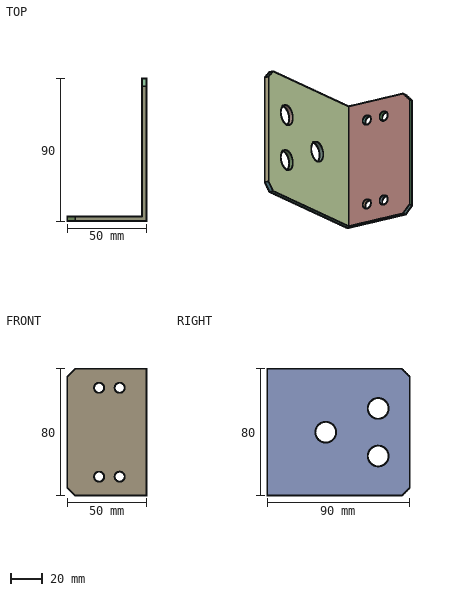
import cadquery as cq

width = 50.0
depth = 90.0
height = 80.0
thickness = 3.0
corner_chamfer = 5.0

small_diameter = 6.2
small_offsets = (17.0, 30.0)
small_spacing_z = 56.0

large_diameter = 13.0
pair_from_end = 20.0
pair_spacing_z = 30.0
single_from_end = 53.0



def short_leg():
    """Plate facing -Y, with chamfered corners at its free end."""
    plate = cq.Workplane("XY").box(width, thickness, height).translate((-width / 2, thickness / 2, 0))
    plate = plate.edges("|Y and <X").chamfer(corner_chamfer)
    holes = [(-x, z) for x in small_offsets for z in (-small_spacing_z / 2, small_spacing_z / 2)]
    cutter = cq.Workplane("XZ").pushPoints(holes).circle(small_diameter / 2).extrude(-thickness)
    return plate.cut(cutter)


def long_leg():
    """Plate facing -X, with chamfered corners at its free end."""
    plate = cq.Workplane("XY").box(thickness, depth, height).translate((-thickness / 2, depth / 2, 0))
    plate = plate.edges("|X and >Y").chamfer(corner_chamfer)
    holes = [
        (depth - pair_from_end, -pair_spacing_z / 2),
        (depth - pair_from_end, pair_spacing_z / 2),
        (depth - single_from_end, 0),
    ]
    cutter = cq.Workplane("YZ").pushPoints(holes).circle(large_diameter / 2).extrude(-thickness)
    return plate.cut(cutter)


result = short_leg().union(long_leg())